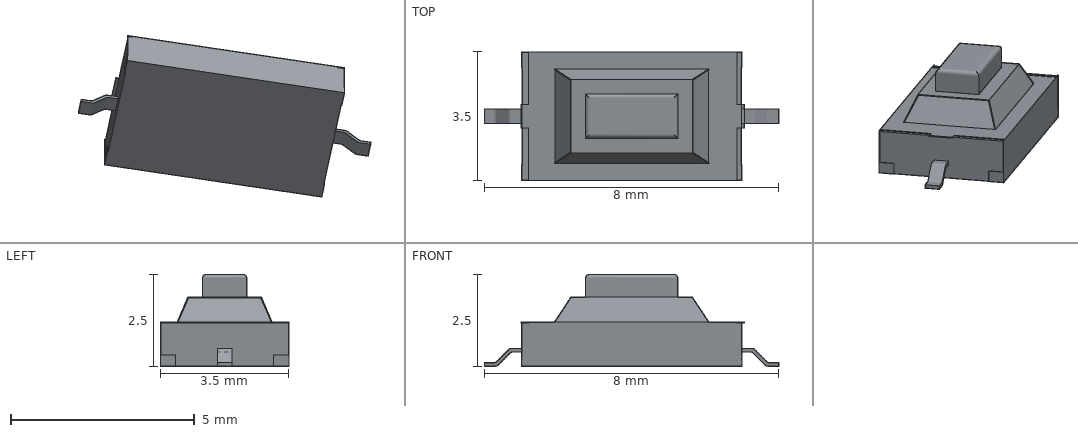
import cadquery as cq

CASE_LENGTH = 6.0
CASE_WIDTH = 3.5
CASE_HEIGHT = 1.2
OVERALL_HEIGHT = 2.5
LEAD_SPAN = 8.0

SHEET = 0.02
COVER_LENGTH = 5.68
COVER_SHIFT = 0.03
TAB_SPAN = 6.07
TAB_WIDTH = 0.65

FOOT_WIDTH = 0.42
FOOT_HEIGHT = 0.3
FOOT_LENGTH = 0.4

BOSS_BASE = (4.2, 2.58)
BOSS_TOP = (3.3, 2.0)
BOSS_TOP_Z = 1.88
BOSS_END_SETBACK = 0.01
BUTTON_LENGTH = 2.51
BUTTON_WIDTH = 1.21
BUTTON_FILLET = 0.11

LEAD_THICKNESS = 0.1
LEAD_WIDTH = 0.4
LEAD_RISE = 0.385
LEAD_TOE = 0.3
LEAD_BEND_RADIUS = 0.1
LEAD_EMBED = 0.2
BEND_OFFSET = LEAD_THICKNESS * (2 ** 0.5 - 1)


def block(length, width, z_bottom, z_top, x=0, y=0):
    """Upright box centred on (x, y)."""
    base = cq.Workplane("XY", origin=(x, y, z_bottom))
    return base.rect(length, width).extrude(z_top - z_bottom)


def make_core():
    """Moulded core, set back from the outer envelope by one sheet thickness."""
    return block(CASE_LENGTH - 2 * SHEET, CASE_WIDTH - 2 * SHEET, 0, CASE_HEIGHT - SHEET)


def make_cover():
    """Top plate with its end tabs and the two long side walls."""
    plate_z = CASE_HEIGHT - SHEET
    plate = block(COVER_LENGTH, CASE_WIDTH, plate_z, CASE_HEIGHT, COVER_SHIFT)
    tabs = block(TAB_SPAN, TAB_WIDTH, plate_z, CASE_HEIGHT, COVER_SHIFT)
    cover = plate.union(tabs)
    for side in (-1, 1):
        wall_y = side * (CASE_WIDTH - SHEET) / 2
        cover = cover.union(block(CASE_LENGTH, SHEET, 0, CASE_HEIGHT, y=wall_y))
    return cover


def make_feet():
    """Four corner feet reaching the full length and width of the case."""
    x = (CASE_LENGTH - FOOT_LENGTH) / 2
    y = (CASE_WIDTH - FOOT_WIDTH) / 2
    corners = [(x, y), (-x, y), (x, -y), (-x, -y)]
    outlines = cq.Workplane("XY").pushPoints(corners).rect(FOOT_LENGTH, FOOT_WIDTH)
    return outlines.extrude(FOOT_HEIGHT)


def frustum(base_size, top_size, top_z):
    """Tapered block standing on the top of the case."""
    base = cq.Workplane("XY", origin=(0, 0, CASE_HEIGHT)).rect(*base_size)
    top = base.workplane(offset=top_z - CASE_HEIGHT).rect(*top_size)
    return top.loft(ruled=True)


def make_boss():
    """Tapered boss: a sheet skin on its top and long slopes, with set-back end faces."""
    tunnel_base = BOSS_BASE[1] / 2 - SHEET
    tunnel_top = BOSS_TOP[1] / 2 - SHEET
    tunnel_top_z = BOSS_TOP_Z - SHEET
    tunnel_section = [
        (-tunnel_base, CASE_HEIGHT),
        (tunnel_base, CASE_HEIGHT),
        (tunnel_top, tunnel_top_z),
        (-tunnel_top, tunnel_top_z),
    ]
    tunnel = cq.Workplane("YZ").polyline(tunnel_section).close().extrude(CASE_LENGTH, both=True)
    skin = frustum(BOSS_BASE, BOSS_TOP, BOSS_TOP_Z).cut(tunnel)
    core_base = (BOSS_BASE[0] - 2 * BOSS_END_SETBACK, BOSS_BASE[1])
    core_top = (BOSS_TOP[0] - 2 * BOSS_END_SETBACK, BOSS_TOP[1])
    return skin.union(frustum(core_base, core_top, BOSS_TOP_Z))


def make_button():
    """Rectangular push button with a rounded top rim."""
    button = block(BUTTON_LENGTH, BUTTON_WIDTH, BOSS_TOP_Z, OVERALL_HEIGHT)
    return button.faces(">Z").edges().fillet(BUTTON_FILLET)


def make_lead():
    """Lead on the +X end: shoulder, 45 degree slope and toe, with rounded bends."""
    tip_x = LEAD_SPAN / 2
    root_x = CASE_LENGTH / 2 - LEAD_EMBED
    lower_bend_x = tip_x - LEAD_TOE
    upper_bend_x = lower_bend_x - LEAD_RISE
    profile = [
        (root_x, LEAD_RISE + LEAD_THICKNESS),
        (upper_bend_x, LEAD_RISE + LEAD_THICKNESS),
        (lower_bend_x, LEAD_THICKNESS),
        (tip_x, LEAD_THICKNESS),
        (tip_x, 0),
        (lower_bend_x - BEND_OFFSET, 0),
        (upper_bend_x - BEND_OFFSET, LEAD_RISE),
        (root_x, LEAD_RISE),
    ]
    lead = cq.Workplane("XZ").polyline(profile).close().extrude(LEAD_WIDTH / 2, both=True)
    middle_x = (lower_bend_x + upper_bend_x - BEND_OFFSET) / 2
    bend_zone = cq.selectors.BoxSelector(
        (middle_x - LEAD_RISE / 2 - LEAD_THICKNESS, -LEAD_WIDTH, -LEAD_THICKNESS),
        (middle_x + LEAD_RISE / 2 + LEAD_THICKNESS, LEAD_WIDTH, CASE_HEIGHT),
    )
    return lead.edges("|Y").edges(bend_zone).fillet(LEAD_BEND_RADIUS)


lead = make_lead()
result = make_core().union(make_cover()).union(make_feet())
result = result.union(make_boss()).union(make_button())
result = result.union(lead).union(lead.mirror("YZ"))